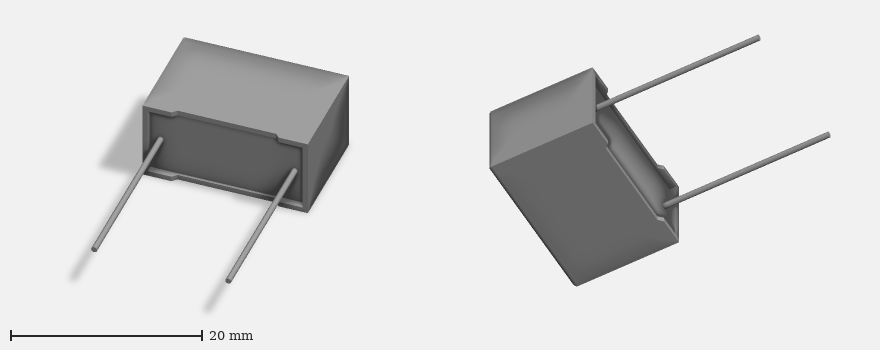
import cadquery as cq


case_width = 18.5
case_depth = 12.6
case_height = 9.21
wall = 0.6
rear_edge_radius = 0.5

notch_floor_width = 11.0
notch_depth = 0.5
notch_mouth_width = notch_floor_width + 2 * notch_depth

fill_setback = 0.8
cavity_width = case_width - 2 * wall
cavity_height = case_height - 2 * wall
cavity_depth = case_depth - wall

overall_depth = 31.6
lead_diameter = 0.65
lead_pitch = 15.0
lead_reach = overall_depth - case_depth


def block(width, height, y_front, y_rear):
    """Box centred on X and Z that runs from y_front to y_rear."""
    depth = y_rear - y_front
    return cq.Workplane("XY").box(width, depth, height).translate((0, y_front + depth / 2, 0))


def make_rim_notch():
    """Trapezoid cutter that runs through both the upper and lower walls."""
    return (
        cq.Workplane("XY")
        .moveTo(-notch_mouth_width / 2, 0)
        .lineTo(-notch_floor_width / 2, notch_depth)
        .lineTo(notch_floor_width / 2, notch_depth)
        .lineTo(notch_mouth_width / 2, 0)
        .close()
        .extrude(case_height / 2, both=True)
    )


def make_case():
    """Rounded-back box, hollowed from the front, with the rim notched."""
    shell = block(case_width, case_height, 0, case_depth)
    shell = shell.faces(">Y").edges().fillet(rear_edge_radius)
    cavity = block(cavity_width, cavity_height, 0, cavity_depth)
    return shell.cut(cavity).cut(make_rim_notch())


def make_fill():
    """Resin block that fills the cavity up to the setback."""
    return block(cavity_width, cavity_height, fill_setback, cavity_depth)


def make_lead(x):
    """Round wire that starts on the front face of the fill."""
    return (
        cq.Workplane("XZ", origin=(x, fill_setback, 0))
        .circle(lead_diameter / 2)
        .extrude(fill_setback + lead_reach)
    )


case = make_case()
fill = make_fill()
leads = [make_lead(side * lead_pitch / 2) for side in (-1, 1)]

result = cq.Compound.makeCompound([case.val(), fill.val(), *[lead.val() for lead in leads]])